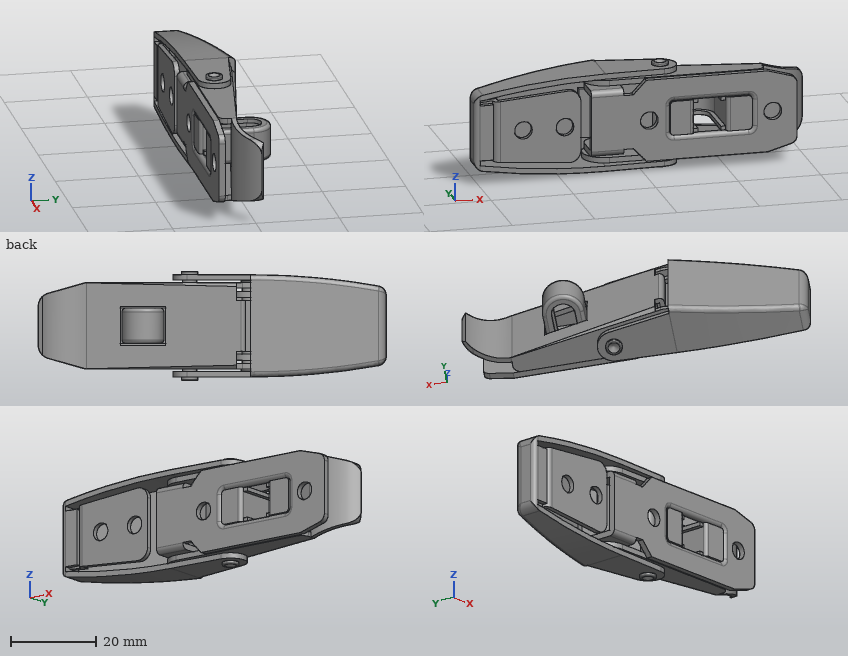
import cadquery as cq
import math



def slope(degrees):
    """Rise per unit of run of a line at this angle."""
    return math.tan(math.radians(degrees))


full_length = 81.9
sheet = 1.3
base_thickness = 1.5
strike_thickness = 1.2
screw_hole_radius = 2.1
tall = 32.75
fit_gap = 0.1
edge_reach = 0.1

lever_pin_x, lever_pin_y = 46.3, 5.3
lever_pin_radius = 1.7
lever_pin_head_radius = 2.0
lever_pin_half = 25.6 / 2
lever_pin_dimple_radius = 1.4
lever_pin_dimple_depth = 0.8
lever_pin_edge_round = 0.25

base_pin_x, base_pin_y = 32.3, 6.8
base_pin_radius = 1.6
base_pin_head_radius = 1.9
base_pin_half = 10.65

base_left = 28.3
base_right = 78.2
base_half = 10.0
neck_half = 6.6
neck_right = 38.4
shoulder_right = 41.6
base_taper_start = 71.1
taper_slope = slope(15.9)
base_corner_radius = 2.0
ear_bend_round = 1.4
ear_radius = base_pin_x - base_left
ear_outer_half = neck_half + base_thickness
base_holes_x = (42.3, 72.3)

window_left, window_right = 47.5, 67.4
window_half = 4.2
window_corner_radius = 0.9
window_rim_round = 1.15

strike_left, strike_right = 1.5, 25.7
hook_face_x = 4.7
hook_rise = 1.55
strike_half_left = 7.1
strike_half_right = 9.1
strike_corner_radius = 2.8
strike_holes_x = (11.8, 21.9)

lever_half = 12.0
lever_side_radius = 171.95
lever_web_end = 31.9
lever_end_height = 6.15
lever_web_slope = slope(12.7)
lever_foot_slope = slope(1.7)
lever_arm_radius = 3.9
lever_arm_slope = slope(9.4)
lever_end_round = 2.4
lever_bend_round = 1.2
lip_half = 6.8
lip_thickness = 1.2

cover_half = 10.15
nose_x, nose_y = 33.0, 6.8
nose_radius = 5.2
cover_wall_end = 70.8
cover_foot_round = 2.0
cover_web_start = 35.2
cover_web_slope = slope(11.0)
cover_wall_slope = slope(9.7)
cover_bevel_width = 0.9
tail_low_top = 5.6
tail_thickness = 1.2
tail_low_x = 72.5
tail_bend_radius = 10.0
tail_corner_radius = 3.3
tongue_half = 6.0
tongue_end = 27.7
tongue_step_x = 33.1
tongue_drop = 3.2
tongue_round = 1.15

staple_x, staple_arc_y = 57.2, 11.6
staple_outer_radius = 4.9
staple_sheet = 1.0
staple_opening_radius = 2.8
staple_half = window_half
staple_bend_round = 0.9
foot_bottom = 0.25
foot_top = foot_bottom + staple_sheet
staple_slot_gap = 0.4


def side_prism(outline, inner_half, outer_half):
    """Extrude an XY outline on both sides of the mid-plane, between two half widths."""
    prism = outline.extrude(outer_half, both=True)
    if inner_half > 0:
        middle = cq.Workplane("XY").rect(3 * full_length, 3 * full_length).extrude(inner_half, both=True)
        prism = prism.cut(middle)
    return prism


def plan_prism(outline, bottom, top):
    """Extrude an XZ outline upwards in Y from bottom to top."""
    return outline.extrude(bottom - top).translate((0, bottom, 0))


def cross_cylinder(x, y, radius, half):
    """A cylinder along Z, centred on the mid-plane."""
    return cq.Workplane("XY").center(x, y).circle(radius).extrude(half, both=True)


def screw_holes(positions):
    centers = [(x, 0) for x in positions]
    return cq.Workplane("XZ").pushPoints(centers).circle(screw_hole_radius).extrude(tall, both=True)


def mirrored_outline(upper_points):
    """Close a plan outline from its +Z half, listed from left to right."""
    lower_points = [(x, -z) for x, z in reversed(upper_points)]
    return cq.Workplane("XZ").polyline(upper_points + lower_points).close()


def window_block(bottom, top):
    block = cq.Workplane("XY").box(window_right - window_left, top - bottom, 2 * window_half)
    block = block.edges("|Y").fillet(window_corner_radius)
    return block.translate(((window_left + window_right) / 2, (bottom + top) / 2, 0))


def make_base():
    right_half = base_half - taper_slope * (base_right - base_taper_start)
    plate = plan_prism(
        mirrored_outline([
            (base_left, neck_half),
            (neck_right, neck_half),
            (shoulder_right, base_half),
            (base_taper_start, base_half),
            (base_right, right_half),
        ]),
        0, base_thickness,
    )
    plate = plate.edges("|Y and >X").fillet(base_corner_radius)

    plate = plate.cut(window_block(-tall, tall))
    window_rim = cq.selectors.BoxSelector(
        (window_left - edge_reach, -edge_reach, -window_half - edge_reach),
        (window_right + edge_reach, edge_reach, window_half + edge_reach),
    )
    plate = plate.edges(window_rim).fillet(window_rim_round)

    ear_outline = (
        cq.Workplane("XY")
        .moveTo(base_left, 0)
        .lineTo(base_left, base_pin_y)
        .threePointArc((base_pin_x, base_pin_y + ear_radius), (base_pin_x + ear_radius, base_pin_y))
        .lineTo(base_pin_x + ear_radius, 0)
        .close()
    )
    bend = cq.Workplane("XY").box(2 * ear_radius, tall, 2 * ear_outer_half)
    bend = bend.translate((base_pin_x, tall / 2, 0)).edges("|X and <Y").fillet(ear_bend_round)
    ears = side_prism(ear_outline, neck_half, ear_outer_half).intersect(bend)
    base = plate.union(ears)
    base = base.cut(cross_cylinder(base_pin_x, base_pin_y, base_pin_radius, tall))
    return base.cut(screw_holes(base_holes_x))


def make_strike():
    hook_top = hook_rise + strike_thickness
    hook_back_x = hook_face_x + strike_thickness
    bend_x = hook_face_x + hook_rise
    bend_mid = hook_rise * (1 - math.sqrt(0.5))
    profile = (
        cq.Workplane("XY")
        .moveTo(strike_right, 0)
        .lineTo(bend_x, 0)
        .threePointArc((hook_face_x + bend_mid, bend_mid), (hook_face_x, hook_rise))
        .lineTo(strike_left, hook_rise)
        .lineTo(strike_left, hook_top)
        .lineTo(hook_back_x, hook_top)
        .lineTo(hook_back_x, strike_thickness)
        .lineTo(strike_right, strike_thickness)
        .close()
    )
    outline = plan_prism(
        mirrored_outline([(strike_left, strike_half_left), (strike_right, strike_half_right)]), 0, hook_top
    )
    outline = outline.edges("|Y and >X").fillet(strike_corner_radius)
    strike = side_prism(profile, 0, strike_half_right).intersect(outline)
    return strike.cut(screw_holes(strike_holes_x))


def lever_half_at(x, inset):
    """Half width of the bowed lever side, moved inwards by inset."""
    radius = lever_side_radius - inset
    return lever_half - lever_side_radius + math.sqrt(radius**2 - (lever_web_end - x)**2)


def lever_plan(left, inset):
    """A tall block with the lever's plan shape: bowed sides that run into parallel arms."""
    right = lever_pin_x
    middle = (left + lever_web_end) / 2
    arm = lever_half - inset
    start = lever_half_at(left, inset)
    bow = lever_half_at(middle, inset)
    outline = (
        cq.Workplane("XZ")
        .moveTo(left, -start)
        .lineTo(left, start)
        .threePointArc((middle, bow), (lever_web_end, arm))
        .lineTo(right, arm)
        .lineTo(right, -arm)
        .lineTo(lever_web_end, -arm)
        .threePointArc((middle, -bow), (left, -start))
        .close()
    )
    return plan_prism(outline, -tall, tall)


def lever_foot(x):
    """Height of the lever's lower edge; it meets the round of the arm from below."""
    angle = math.atan(lever_foot_slope)
    touch_y = lever_pin_y - lever_arm_radius * math.cos(angle)
    touch_x = lever_pin_x + lever_arm_radius * math.sin(angle)
    return touch_y - lever_foot_slope * (touch_x - x)


def lever_web_side(drop, left, right):
    """XY outline between the lower edge and the sloping web, the web lowered by drop."""
    def web(x):
        return lever_end_height + lever_web_slope * x - drop
    return (
        cq.Workplane("XY")
        .moveTo(left, lever_foot(left))
        .lineTo(left, web(left))
        .lineTo(right, web(right))
        .lineTo(right, lever_foot(right))
        .close()
    )


def arm_outline():
    top_angle = math.atan(lever_arm_slope)
    foot_angle = math.atan(lever_foot_slope)
    top_x = lever_pin_x + lever_arm_radius * math.sin(top_angle)
    top_y = lever_pin_y + lever_arm_radius * math.cos(top_angle)
    foot_x = lever_pin_x + lever_arm_radius * math.sin(foot_angle)
    return (
        cq.Workplane("XY")
        .moveTo(lever_web_end, lever_foot(lever_web_end))
        .lineTo(lever_web_end, top_y + lever_arm_slope * (top_x - lever_web_end))
        .lineTo(top_x, top_y)
        .threePointArc((lever_pin_x + lever_arm_radius, lever_pin_y), (foot_x, lever_foot(foot_x)))
        .close()
    )


def make_lever():
    web_drop = sheet * math.hypot(1, lever_web_slope)
    body = side_prism(lever_web_side(0, 0, lever_web_end), 0, lever_half)
    body = body.intersect(lever_plan(0, 0))
    body = body.edges("<X and (not <Y)").fillet(lever_end_round)
    web_normal = cq.Vector(-lever_web_slope, 1, 0)
    web_face = body.faces(cq.selectors.DirectionMinMaxSelector(web_normal))
    body = web_face.edges("not(>X or <X)").fillet(lever_bend_round)
    rounded_foot = side_prism(lever_web_side(0, 0, lever_web_end), 0, lever_half)
    rounded_foot = rounded_foot.edges("|Z and <X and <Y").fillet(lever_bend_round)
    body = body.intersect(rounded_foot)

    cavity = side_prism(lever_web_side(web_drop, sheet, lever_web_end + sheet), 0, lever_half)
    cavity = cavity.union(cavity.translate((0, -sheet, 0)))
    body = body.cut(cavity.intersect(lever_plan(sheet, sheet)))

    lip_right = hook_face_x - fit_gap
    lip = side_prism(
        cq.Workplane("XY")
        .polyline([
            (sheet, lever_foot(sheet)),
            (lip_right, lever_foot(lip_right)),
            (lip_right, lever_foot(lip_right) + lip_thickness),
            (sheet, lever_foot(sheet) + lip_thickness),
        ])
        .close(),
        0, lip_half,
    )
    lever = body.union(lip).union(side_prism(arm_outline(), lever_half - sheet, lever_half))
    return lever.cut(cross_cylinder(lever_pin_x, lever_pin_y, lever_pin_radius, tall))


def on_tail_bend(radius, angle):
    """Point of the tail curl at this angle from its lowest point."""
    center_y = tail_low_top + tail_bend_radius
    return (tail_low_x + radius * math.sin(angle), center_y - radius * math.cos(angle))


def cover_web_top(x):
    """Upper face of the web, tangent to the tail curl."""
    touch_x, touch_y = on_tail_bend(tail_bend_radius, -math.atan(cover_web_slope))
    return touch_y + cover_web_slope * (touch_x - x)


def cover_web_bottom(x):
    return cover_web_top(x) - tail_thickness * math.hypot(1, cover_web_slope)


def cover_wall_top(x):
    """Upper edge of a cover wall, tangent to the round nose."""
    angle = math.atan(cover_wall_slope)
    touch_x = nose_x + nose_radius * math.sin(angle)
    touch_y = nose_y + nose_radius * math.cos(angle)
    return touch_y - cover_wall_slope * (x - touch_x)


def cover_walls():
    angle = math.atan(cover_wall_slope)
    touch_x = nose_x + nose_radius * math.sin(angle)
    foot = nose_y - nose_radius
    outline = (
        cq.Workplane("XY")
        .moveTo(nose_x, foot)
        .threePointArc((nose_x - nose_radius, nose_y), (touch_x, cover_wall_top(touch_x)))
        .lineTo(cover_wall_end, cover_wall_top(cover_wall_end))
        .lineTo(cover_wall_end, foot)
        .close()
    )
    walls = side_prism(outline, cover_half - sheet, cover_half)
    return walls.edges("|Z and >X and <Y").fillet(cover_foot_round)


def cover_bevel(side):
    """Wedge that bevels one long edge of the web, fading out towards the tail."""
    def triangle(x, width):
        edge_y = cover_web_top(x)
        drop = edge_y - cover_wall_top(x)
        return [
            (edge_y, side * (cover_half - width)),
            (edge_y - drop, side * cover_half),
            (edge_y, side * cover_half),
        ]
    fade = cover_web_top(cover_wall_end) - cover_wall_top(cover_wall_end)
    fade /= cover_web_top(cover_web_start) - cover_wall_top(cover_web_start)
    return (
        cq.Workplane("YZ", origin=(cover_web_start, 0, 0))
        .polyline(triangle(cover_web_start, cover_bevel_width))
        .close()
        .workplane(offset=cover_wall_end - cover_web_start)
        .polyline(triangle(cover_wall_end, cover_bevel_width * fade))
        .close()
        .loft(ruled=True)
    )


def cover_web():
    """The sloping web and the curled tail, one bent sheet."""
    outer_radius = tail_bend_radius + tail_thickness
    start = -math.atan(cover_web_slope)
    tip = math.asin((full_length - tail_low_x) / outer_radius)
    outline = (
        cq.Workplane("XY")
        .moveTo(cover_web_start, cover_web_top(cover_web_start))
        .lineTo(*on_tail_bend(tail_bend_radius, start))
        .threePointArc(on_tail_bend(tail_bend_radius, 0), on_tail_bend(tail_bend_radius, tip))
        .lineTo(*on_tail_bend(outer_radius, tip))
        .threePointArc(on_tail_bend(outer_radius, 0), on_tail_bend(outer_radius, start))
        .lineTo(cover_web_start, cover_web_bottom(cover_web_start))
        .close()
    )
    tip_half = cover_half - taper_slope * (full_length - cover_wall_end)
    plan = plan_prism(
        mirrored_outline([
            (cover_web_start, cover_half),
            (cover_wall_end, cover_half),
            (full_length, tip_half),
        ]),
        0, tall,
    )
    plan = plan.edges("|Y and >X").fillet(tail_corner_radius)
    web = side_prism(outline, 0, cover_half).intersect(plan)
    for side in (-1, 1):
        web = web.cut(cover_bevel(side))
    return web


def cover_tongue():
    """Narrow front of the web, stepped down to lie under the lever web."""
    back_x = tongue_step_x + tongue_round
    crown_y = cover_web_top(back_x)
    round_mid = tongue_round * math.sqrt(0.5)
    outline = (
        cq.Workplane("XY")
        .moveTo(cover_web_start, cover_web_top(cover_web_start))
        .lineTo(back_x, crown_y)
        .threePointArc(
            (back_x - round_mid, crown_y - tongue_round + round_mid), (tongue_step_x, crown_y - tongue_round)
        )
        .lineTo(tongue_step_x, cover_web_top(tongue_step_x) - tongue_drop)
        .lineTo(tongue_end, cover_web_top(tongue_end) - tongue_drop)
        .lineTo(tongue_end, cover_web_bottom(tongue_end) - tongue_drop)
        .lineTo(back_x, cover_web_bottom(back_x) - tongue_drop)
        .lineTo(back_x, cover_web_bottom(back_x))
        .lineTo(cover_web_start, cover_web_bottom(cover_web_start))
        .close()
    )
    return side_prism(outline, 0, tongue_half)


def make_cover():
    cover = cover_walls().union(cover_web()).union(cover_tongue())
    slot = cq.Workplane("XY").box(
        2 * (staple_outer_radius + staple_slot_gap), tall, 2 * (staple_half + staple_slot_gap)
    )
    cover = cover.cut(slot.translate((staple_x, tall / 2, 0)))
    cover = cover.cut(cross_cylinder(base_pin_x, base_pin_y, base_pin_radius, tall))
    return cover.cut(cross_cylinder(lever_pin_x, lever_pin_y, lever_pin_radius, tall))


def arch(radius, bottom):
    """XY outline of a round-topped arch on the staple's axis."""
    return (
        cq.Workplane("XY")
        .moveTo(staple_x - radius, bottom)
        .lineTo(staple_x - radius, staple_arc_y)
        .threePointArc((staple_x, staple_arc_y + radius), (staple_x + radius, staple_arc_y))
        .lineTo(staple_x + radius, bottom)
        .close()
    )


def make_staple():
    inner_radius = staple_outer_radius - staple_sheet
    loop = side_prism(arch(staple_outer_radius, foot_top), 0, staple_half)
    loop = loop.faces("<Z or >Z").edges("not <Y").fillet(staple_bend_round)
    loop = loop.cut(side_prism(arch(inner_radius, 0), 0, staple_half - staple_sheet))
    loop = loop.cut(side_prism(arch(staple_opening_radius, 0), 0, tall))

    feet = window_block(foot_bottom, foot_top)
    gap = cq.Workplane("XY").box(2 * inner_radius, tall, tall).translate((staple_x, 0, 0))
    feet = feet.cut(gap)
    bends = cq.selectors.BoxSelector(
        (staple_x - inner_radius - edge_reach, foot_bottom - edge_reach, -tall),
        (staple_x + inner_radius + edge_reach, foot_bottom + edge_reach, tall),
    )
    feet = feet.edges(bends).edges("|Z").fillet(staple_bend_round)
    return loop.union(feet)


def make_headed_pin(x, y, radius, half, head_radius, head_start):
    pin = cross_cylinder(x, y, radius, half)
    heads = cross_cylinder(x, y, head_radius, half).cut(cross_cylinder(x, y, head_radius, head_start))
    return pin.union(heads)


def make_lever_pin():
    pin = make_headed_pin(
        lever_pin_x, lever_pin_y, lever_pin_radius, lever_pin_half, lever_pin_head_radius, lever_half
    )
    pin = pin.edges("<Z or >Z").fillet(lever_pin_edge_round)
    for side in (-1, 1):
        dimple = cq.Solid.makeCone(
            lever_pin_dimple_radius,
            0,
            lever_pin_dimple_depth,
            pnt=cq.Vector(lever_pin_x, lever_pin_y, side * lever_pin_half),
            dir=cq.Vector(0, 0, -side),
        )
        pin = pin.cut(cq.Workplane(dimple))
    return pin


def make_base_pin():
    return make_headed_pin(
        base_pin_x, base_pin_y, base_pin_radius, base_pin_half, base_pin_head_radius, cover_half
    )


base = make_base()
strike = make_strike()
lever = make_lever()
cover = make_cover()
staple = make_staple()
lever_pin = make_lever_pin()
base_pin = make_base_pin()

result = cq.Compound.makeCompound([
    base.val(),
    strike.val(),
    lever.val(),
    cover.val(),
    staple.val(),
    lever_pin.val(),
    base_pin.val(),
])